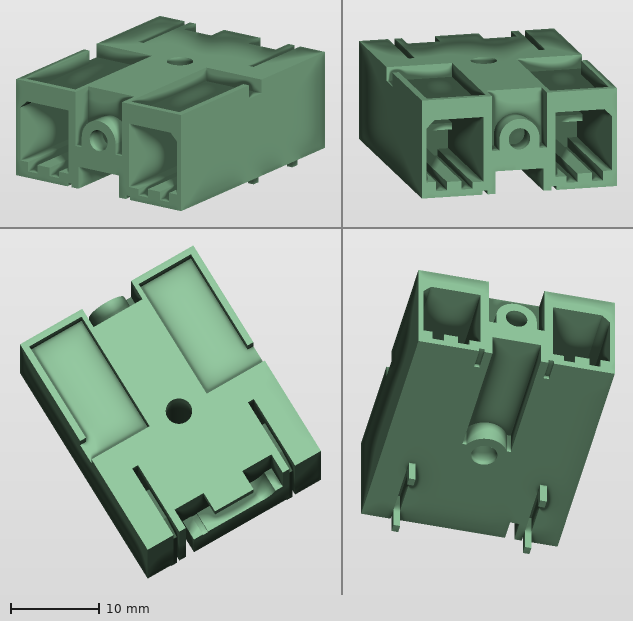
import cadquery as cq
import math


WIDTH = 22.87
LENGTH = 28.3
HEIGHT = 11.45

SOCKET_X = 7.65
SOCKET_INNER = 4.22
SOCKET_OUTER = 10.87
SOCKET_TOP = 9.08
SOCKET_CHAMFER = 0.9
SOCKET_DEPTH = 15.85
INNER_FLOOR = 1.53
OUTER_FLOOR = 1.87
RIDGE_TOP = 1.75
RIDGE_WIDTH = 1.67
GROOVE_FLOOR = 0.75
GROOVES_WIDTH = 4.27

POCKET_INNER = 3.75
POCKET_DEPTH = 1.6
POCKET_BACK = 15.85
POCKET_WALL = 0.75
SIDE_GAP = 2.52

SCREW_Y = 16.02
SCREW_RADIUS = 1.5
SCREW_WALL_RADIUS = 2.63
CHANNEL_WIDTH = 5.63
CHANNEL_HEIGHT = 2.63
ROUND_WALL_HALF_WIDTH = 2.35

END_DEPTH = 2.52
NOTCH_WIDTH = 6.45
NOTCH_FLOOR = 5.05
BOSS_HALF_WIDTH = 2.35
BOSS_TOP = 8.6
BOSS_SHOULDER = 6.3
BOSS_HOLE_Z = 6.25
BOSS_HOLE_RADIUS = 1.25

KEYWAY_X = 4.05
KEYWAY_WIDTH = 0.62
KEYWAY_DEPTH = 0.45

RECESS_WIDTH = 12.8
TONGUE_WIDTH = 5.1
TONGUE_THICKNESS = 1.25
THROUGH_SLOT_WIDTH = 1.08
RECESS_FLOOR = NOTCH_FLOOR
CURVE_RADIUS = 1.7
CURVE_STEEP_ANGLE = 65.0
CURVE_SHALLOW_ANGLE = 14.0
LEFT_CURVE_END_X = -3.48
RIGHT_STEP_X = 3.45
RIGHT_STEP_DEPTH = 0.28
RIGHT_CURVE_X = 3.74

THICKNESS = 0.75
PLATE_FRONT = 19.13
PLATE_BACK = 27.73
PLATE_BOTTOM = 2.25
PLATE_TOP = 9.05
SHOULDER_Y = 21.62
SLOPE_LENGTH = 2.25
SLOPE_DROP = 1.3
LEG_WIDTH = 1.0
LEG_LENGTH = 2.55
TAB_WIDTH = 4.5
TAB_TOP = 6.1
TAB_TIP = 9.62


def box(x_range, y_range, z_range):
    """Axis-aligned box between pairs of coordinates."""
    lows, highs = zip(*(sorted(limits) for limits in (x_range, y_range, z_range)))
    sizes = [high - low for low, high in zip(lows, highs)]
    return cq.Workplane("XY").box(*sizes, centered=False).translate(lows)


def extrude_along_y(outline, start, end):
    """Extrude an XZ outline from Y = start to Y = end."""
    return outline.extrude(start - end).translate((0, start, 0))


def socket(side):
    """Plug cavity with a chamfered outer corner and two keying grooves."""
    half_grooves = GROOVES_WIDTH / 2
    half_ridge = RIDGE_WIDTH / 2
    profile = [
        (SOCKET_INNER, SOCKET_TOP),
        (SOCKET_OUTER - SOCKET_CHAMFER, SOCKET_TOP),
        (SOCKET_OUTER, SOCKET_TOP - SOCKET_CHAMFER),
        (SOCKET_OUTER, OUTER_FLOOR),
        (SOCKET_X + half_grooves, OUTER_FLOOR),
        (SOCKET_X + half_grooves, GROOVE_FLOOR),
        (SOCKET_X + half_ridge, GROOVE_FLOOR),
        (SOCKET_X + half_ridge, RIDGE_TOP),
        (SOCKET_X - half_ridge, RIDGE_TOP),
        (SOCKET_X - half_ridge, GROOVE_FLOOR),
        (SOCKET_X - half_grooves, GROOVE_FLOOR),
        (SOCKET_X - half_grooves, INNER_FLOOR),
        (SOCKET_INNER, INNER_FLOOR),
    ]
    outline = cq.Workplane("XZ").polyline([(side * x, z) for x, z in profile]).close()
    return extrude_along_y(outline, 0, SOCKET_DEPTH)


def top_pocket(side):
    """Shallow pocket whose side wall stops short of the back, leaving a gap."""
    heights = (HEIGHT - POCKET_DEPTH, HEIGHT)
    inner = side * POCKET_INNER
    outer = side * WIDTH / 2
    floor = box((inner, outer - side * POCKET_WALL), (POCKET_WALL, POCKET_BACK), heights)
    gap = box((inner, outer), (POCKET_BACK - SIDE_GAP, POCKET_BACK), heights)
    return floor.union(gap)


def keyway(side):
    """Small blind groove in the underside, open at the front."""
    centre = side * KEYWAY_X
    half = KEYWAY_WIDTH / 2
    return box((centre - half, centre + half), (0, END_DEPTH), (0, KEYWAY_DEPTH))


def terminal_slot(side):
    """Full-height slot, open at the back, that holds the terminal plate."""
    centre = side * SOCKET_X
    half = THICKNESS / 2
    return box((centre - half, centre + half), (PLATE_FRONT, LENGTH), (0, HEIGHT))


def front_boss_notch():
    """Notch around a round-topped boss with a blind hole."""
    half_notch = NOTCH_WIDTH / 2
    notch = box((-half_notch, half_notch), (0, END_DEPTH), (NOTCH_FLOOR, HEIGHT))
    boss_outline = (
        cq.Workplane("XZ")
        .moveTo(-BOSS_HALF_WIDTH, NOTCH_FLOOR)
        .lineTo(-BOSS_HALF_WIDTH, BOSS_SHOULDER)
        .threePointArc((0, BOSS_TOP), (BOSS_HALF_WIDTH, BOSS_SHOULDER))
        .lineTo(BOSS_HALF_WIDTH, NOTCH_FLOOR)
        .close()
    )
    boss = extrude_along_y(boss_outline, 0, END_DEPTH)
    hole_outline = cq.Workplane("XZ").center(0, BOSS_HOLE_Z).circle(BOSS_HOLE_RADIUS)
    hole = extrude_along_y(hole_outline, 0, END_DEPTH)
    return notch.cut(boss).union(hole)


def underside_channel():
    """Channel from the front to the round wall about the screw hole."""
    half = CHANNEL_WIDTH / 2
    end = SCREW_Y - math.sqrt(SCREW_WALL_RADIUS**2 - ROUND_WALL_HALF_WIDTH**2)
    channel = box((-half, half), (0, end), (0, CHANNEL_HEIGHT))
    round_wall = (
        cq.Workplane("XY").center(0, SCREW_Y).circle(SCREW_WALL_RADIUS).extrude(CHANNEL_HEIGHT)
    )
    return channel.cut(round_wall)


def back_recess():
    """Recess with a stepped, curved floor, under a tongue that is level with the top."""
    half = RECESS_WIDTH / 2
    steep = math.radians(CURVE_STEEP_ANGLE)
    shallow = math.radians(CURVE_SHALLOW_ANGLE)

    left_x = LEFT_CURVE_END_X - CURVE_RADIUS * math.sin(shallow)
    left_z = RECESS_FLOOR + CURVE_RADIUS * math.cos(shallow)
    ledge_x = left_x - CURVE_RADIUS * math.sin(steep)
    ledge_z = left_z - CURVE_RADIUS * math.cos(steep)

    step_z = RECESS_FLOOR - RIGHT_STEP_DEPTH
    right_end_x = RIGHT_CURVE_X + CURVE_RADIUS * math.sin(shallow)
    right_end_z = step_z + CURVE_RADIUS * (1 - math.cos(shallow))
    right_middle_x = RIGHT_CURVE_X + CURVE_RADIUS * math.sin(shallow / 2)
    right_middle_z = step_z + CURVE_RADIUS * (1 - math.cos(shallow / 2))

    outline = (
        cq.Workplane("XZ")
        .moveTo(-half, HEIGHT)
        .lineTo(-half, ledge_z)
        .lineTo(ledge_x, ledge_z)
        .threePointArc((left_x, left_z - CURVE_RADIUS), (LEFT_CURVE_END_X, RECESS_FLOOR))
        .lineTo(RIGHT_STEP_X, RECESS_FLOOR)
        .lineTo(RIGHT_STEP_X, step_z)
        .lineTo(RIGHT_CURVE_X, step_z)
        .threePointArc((right_middle_x, right_middle_z), (right_end_x, right_end_z))
        .lineTo(right_end_x, RECESS_FLOOR)
        .lineTo(half, RECESS_FLOOR)
        .lineTo(half, HEIGHT)
        .close()
    )
    depth_range = (LENGTH - END_DEPTH, LENGTH)
    recess = extrude_along_y(outline, *depth_range)
    half_tongue = TONGUE_WIDTH / 2
    tongue = box((-half_tongue, half_tongue), depth_range, (HEIGHT - TONGUE_THICKNESS, HEIGHT))
    through_slot = box((half - THROUGH_SLOT_WIDTH, half), depth_range, (0, HEIGHT))
    return recess.cut(tongue).union(through_slot)


def make_terminal(side):
    """Upright plate with two solder legs and a flat tab that reaches into the socket."""
    profile = [
        (PLATE_FRONT, TAB_TOP),
        (SHOULDER_Y, TAB_TOP),
        (SHOULDER_Y, PLATE_TOP),
        (PLATE_BACK - SLOPE_LENGTH, PLATE_TOP),
        (PLATE_BACK, PLATE_TOP - SLOPE_DROP),
        (PLATE_BACK, -LEG_LENGTH),
        (PLATE_BACK - LEG_WIDTH, -LEG_LENGTH),
        (PLATE_BACK - LEG_WIDTH, PLATE_BOTTOM),
        (PLATE_FRONT + LEG_WIDTH, PLATE_BOTTOM),
        (PLATE_FRONT + LEG_WIDTH, -LEG_LENGTH),
        (PLATE_FRONT, -LEG_LENGTH),
    ]
    centre = side * SOCKET_X
    plate = cq.Workplane("YZ").polyline(profile).close().extrude(THICKNESS / 2, both=True)
    half_tab = TAB_WIDTH / 2
    tab = box(
        (centre - half_tab, centre + half_tab),
        (TAB_TIP, SHOULDER_Y),
        (TAB_TOP - THICKNESS, TAB_TOP),
    )
    return plate.translate((centre, 0, 0)).union(tab)


def make_housing(terminals):
    """Block with all its cavities and a matching seat for each terminal."""
    block = box((-WIDTH / 2, WIDTH / 2), (0, LENGTH), (0, HEIGHT))
    for side in (-1, 1):
        block = block.cut(socket(side)).cut(top_pocket(side))
        block = block.cut(keyway(side)).cut(terminal_slot(side))
    block = block.cut(front_boss_notch()).cut(underside_channel()).cut(back_recess())
    screw_hole = cq.Workplane("XY").center(0, SCREW_Y).circle(SCREW_RADIUS).extrude(HEIGHT)
    block = block.cut(screw_hole)
    for terminal in terminals:
        block = block.cut(terminal)
    return block


terminals = [make_terminal(side) for side in (-1, 1)]
housing = make_housing(terminals)

result = cq.Compound.makeCompound([housing.val(), *(terminal.val() for terminal in terminals)])